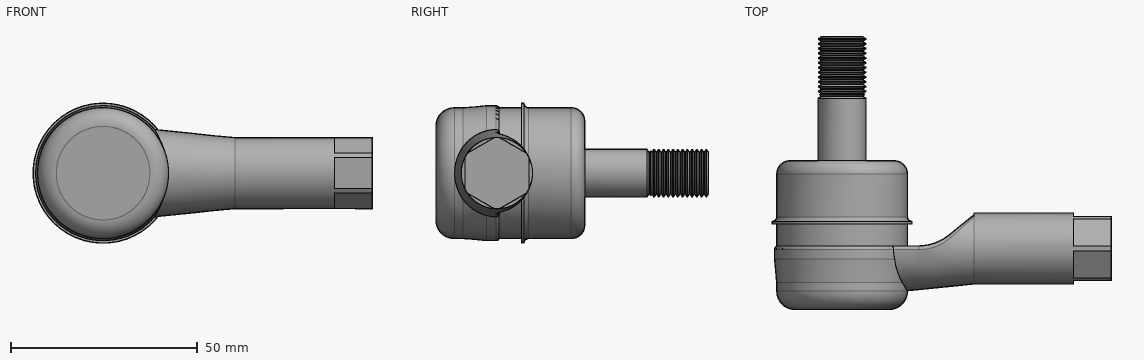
import cadquery as cq
import math


STUD_RADIUS = 6.4
THREAD_CREST_RADIUS = 6.35
THREAD_ROOT_RADIUS = 5.6
THREAD_CREST_WIDTH = 0.2
THREAD_BASE_WIDTH = 1.1
THREAD_PITCH = 1.3
THREAD_RIDGES = 12
RUNOUT_RADIUS = 6.0
RUNOUT_MIDDLE = 41.1
RUNOUT_BASE_WIDTH = 0.6
STUD_TOP = 56.6
FIRST_RIDGE = STUD_TOP - THREAD_PITCH / 2
STUD_SHOULDER = 40.1
SHOULDER_CHAMFER = 0.5

BOOT_RADIUS = 17.5
BOOT_TOP = 23.5
BOOT_ROUND = 3.6
LIP_RADIUS = 18.74
LIP_FLARE_RADIUS = LIP_RADIUS - BOOT_RADIUS
LIP_TOP = 7.3
LIP_BOTTOM = 6.5

HOUSING_RIM_RADIUS = 18.1
HOUSING_TOP = 0.7
RIM_BOTTOM = -2.8
TAPER_BOTTOM = -9.1
HOUSING_BOTTOM = -16.3
HOUSING_ROUND = 5.0
RIM_ROUND = 1.0

ARM_START = 9.1
ARM_END = 35.2
ARM_START_RADIUS = 12.2
SCOOP_START = 20.4
SCOOP_RADIUS = 13.0
SCOOP_ANGLE = math.radians(39)
EDGE_MARGIN = 0.01

ROD_RADIUS = 9.5
HEX_START = 61.9
ROD_END = 90.75 - LIP_RADIUS
HEX_ACROSS_FLATS = 17.15


def turn_about_y(profile):
    """Revolve a closed radius-height profile about the Y axis."""
    return profile.close().revolve(360, (0, 0, 0), (0, 1, 0))


def rod_piece(start, end, radius):
    """Round bar along X between two stations."""
    return cq.Workplane("YZ", origin=(start, 0, 0)).circle(radius).extrude(end - start)


def make_stud():
    """Plain shank below a chamfered shoulder and a stack of thread ridges."""
    profile = (
        cq.Workplane("XY")
        .moveTo(0, HOUSING_TOP)
        .lineTo(STUD_RADIUS, HOUSING_TOP)
        .lineTo(STUD_RADIUS, STUD_SHOULDER)
        .lineTo(THREAD_ROOT_RADIUS, STUD_SHOULDER + SHOULDER_CHAMFER)
        .lineTo(THREAD_ROOT_RADIUS, RUNOUT_MIDDLE - RUNOUT_BASE_WIDTH / 2)
        .lineTo(RUNOUT_RADIUS, RUNOUT_MIDDLE)
        .lineTo(THREAD_ROOT_RADIUS, RUNOUT_MIDDLE + RUNOUT_BASE_WIDTH / 2)
    )
    for ridge in reversed(range(THREAD_RIDGES)):
        middle = FIRST_RIDGE - ridge * THREAD_PITCH
        profile = (
            profile.lineTo(THREAD_ROOT_RADIUS, middle - THREAD_BASE_WIDTH / 2)
            .lineTo(THREAD_CREST_RADIUS, middle - THREAD_CREST_WIDTH / 2)
            .lineTo(THREAD_CREST_RADIUS, middle + THREAD_CREST_WIDTH / 2)
            .lineTo(THREAD_ROOT_RADIUS, middle + THREAD_BASE_WIDTH / 2)
        )
    return turn_about_y(profile.lineTo(THREAD_ROOT_RADIUS, STUD_TOP).lineTo(0, STUD_TOP))


def make_boot():
    """Boot with a rounded top and a thin flared lip."""
    return turn_about_y(
        cq.Workplane("XY")
        .moveTo(0, RIM_BOTTOM)
        .lineTo(BOOT_RADIUS, RIM_BOTTOM)
        .lineTo(BOOT_RADIUS, LIP_BOTTOM)
        .lineTo(LIP_RADIUS, LIP_BOTTOM)
        .lineTo(LIP_RADIUS, LIP_TOP)
        .radiusArc((BOOT_RADIUS, LIP_TOP + LIP_FLARE_RADIUS), LIP_FLARE_RADIUS)
        .lineTo(BOOT_RADIUS, BOOT_TOP - BOOT_ROUND)
        .radiusArc((BOOT_RADIUS - BOOT_ROUND, BOOT_TOP), -BOOT_ROUND)
        .lineTo(0, BOOT_TOP)
    )


def make_housing():
    """Housing with a rounded rim, a slight taper and a rounded bottom edge."""
    return turn_about_y(
        cq.Workplane("XY")
        .moveTo(0, HOUSING_TOP)
        .lineTo(HOUSING_RIM_RADIUS - RIM_ROUND, HOUSING_TOP)
        .radiusArc((HOUSING_RIM_RADIUS, HOUSING_TOP - RIM_ROUND), RIM_ROUND)
        .lineTo(HOUSING_RIM_RADIUS, RIM_BOTTOM)
        .lineTo(BOOT_RADIUS, TAPER_BOTTOM)
        .lineTo(BOOT_RADIUS, HOUSING_BOTTOM + HOUSING_ROUND)
        .radiusArc((BOOT_RADIUS - HOUSING_ROUND, HOUSING_BOTTOM), HOUSING_ROUND)
        .lineTo(0, HOUSING_BOTTOM)
    )


def make_arm_cone():
    """Cone about the X axis, narrowing from the housing to the rod."""
    return (
        cq.Workplane("XY")
        .moveTo(ARM_START, 0)
        .lineTo(ARM_START, ARM_START_RADIUS)
        .lineTo(ARM_END, ROD_RADIUS)
        .lineTo(ARM_END, 0)
        .close()
        .revolve(360, (0, 0, 0), (1, 0, 0))
    )


def make_arm():
    """Arm with a flat and a curved ramp cut into it, rounded along both side edges."""
    ramp_start = SCOOP_START + SCOOP_RADIUS * math.sin(SCOOP_ANGLE)
    ramp_bottom = HOUSING_TOP + SCOOP_RADIUS * (1 - math.cos(SCOOP_ANGLE))
    ramp_top = ramp_bottom + (ARM_END - ramp_start) * math.tan(SCOOP_ANGLE)
    scoop = (
        cq.Workplane("XY")
        .moveTo(0, HOUSING_TOP)
        .lineTo(SCOOP_START, HOUSING_TOP)
        .radiusArc((ramp_start, ramp_bottom), -SCOOP_RADIUS)
        .lineTo(ARM_END, ramp_top)
        .lineTo(ARM_END, BOOT_TOP)
        .lineTo(0, BOOT_TOP)
        .close()
        .extrude(LIP_RADIUS, both=True)
    )
    arm = make_arm_cone().cut(scoop)
    side_edges = [
        edge
        for edge in arm.edges().vals()
        if edge.BoundingBox().ymin > HOUSING_TOP - EDGE_MARGIN
        and edge.BoundingBox().xlen > EDGE_MARGIN
    ]
    return arm.newObject(side_edges).fillet(RIM_ROUND)


def make_rod():
    """Round rod whose end has hex flats with the corners left round."""
    hexagon = (
        cq.Workplane("YZ", origin=(HEX_START, 0, 0))
        .polygon(6, HEX_ACROSS_FLATS / math.cos(math.pi / 6))
        .extrude(ROD_END - HEX_START)
        .rotate((0, 0, 0), (1, 0, 0), 30)
    )
    hex_end = rod_piece(HEX_START, ROD_END, ROD_RADIUS).intersect(hexagon)
    return rod_piece(ARM_END, HEX_START, ROD_RADIUS).union(hex_end)


result = (
    make_housing()
    .union(make_arm())
    .union(make_boot())
    .union(make_stud())
    .union(make_rod())
)